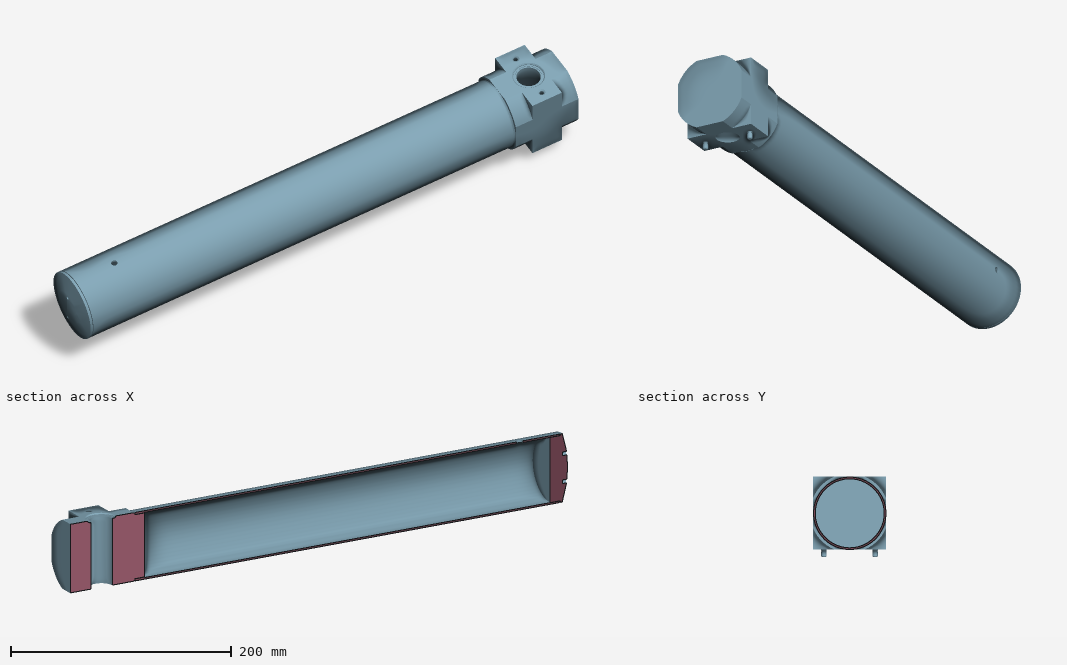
import cadquery as cq
import math

outer_diameter = 66.0
outer_radius = outer_diameter / 2
total_length = 519.0
bore_diameter = 62.0
plug_length = 10.0
back_y = total_length / 2
cap_apex_y = -back_y

head_length = 66.0
head_corner_diameter = 71.4
head_band_length = 31.0
neck_diameter = 65.4
neck_length = 2.0
head_center_y = back_y - head_length / 2
head_front_y = back_y - head_length

port_diameter = 22.0
port_chamfer_diameter = 30.0
port_chamfer_depth = 1.0
port_mouth_diameter = 28.0
port_mouth_depth = 1.5
port_seat_diameter = 24.5
port_seat_depth = 2.0

fixing_spacing = 46.2
fixing_hole_diameter = 4.13
fixing_hole_depth = 12.0
fixing_countersink_diameter = 7.0
fixing_countersink_depth = 1.0

stud_diameter = 5.0
stud_length = 6.8
stud_groove_diameter = 4.13
stud_groove_offset = 0.8
stud_groove_width = 1.2
stud_tip_diameter = 3.7
stud_tip_length = 1.0

dome_radius = 100.0
dome_height = dome_radius - math.sqrt(dome_radius**2 - outer_radius**2)
cap_flange_length = 3.0
cap_groove_diameter = 63.2
cap_groove_width = 0.6
spanner_hole_diameter = 3.0
spanner_hole_spacing = 26.7
spanner_hole_depth = 5.0
cap_rim_y = cap_apex_y + dome_height

tube_back_y = head_front_y - neck_length
tube_front_y = cap_rim_y + cap_flange_length
radial_hole_diameter = 6.0
radial_hole_distance_from_apex = 50.0
radial_hole_y = cap_apex_y + radial_hole_distance_from_apex


def rod(diameter, start_y, end_y):
    """Round bar on the long axis from start_y down to the lower end_y."""
    plane = cq.Workplane("XZ", origin=(0, start_y, 0))
    return plane.circle(diameter / 2).extrude(start_y - end_y)


def upright(diameter, x, bottom_z, top_z):
    """Round bar parallel to Z at the middle of the head's length."""
    plane = cq.Workplane("XY", origin=(x, head_center_y, bottom_z))
    return plane.circle(diameter / 2).extrude(top_z - bottom_z)


def top_hole(diameter, x, depth):
    """Cutter for a round hole going down from the top of the head."""
    return upright(diameter, x, outer_radius - depth, outer_radius)


def top_cone(top_diameter, bottom_diameter, x, depth):
    """Cutter for a cone that narrows down from the top of the head."""
    plane = cq.Workplane("XY", origin=(x, head_center_y, outer_radius))
    mouth = plane.circle(top_diameter / 2)
    return mouth.workplane(offset=-depth).circle(bottom_diameter / 2).loft()


def square_block(length):
    """Block of square section centred on the head."""
    block = cq.Workplane("XY").box(outer_diameter, length, outer_diameter)
    return block.translate((0, head_center_y, 0))


def make_stud(x):
    """Stud hanging from the underside of the head, with a groove and a chamfered tip."""
    groove_top_z = -outer_radius - stud_groove_offset
    groove_bottom_z = groove_top_z - stud_groove_width
    tip_chamfer_width = (stud_diameter - stud_tip_diameter) / 2
    stud = upright(stud_diameter, x, -outer_radius - stud_length, -outer_radius)
    stud = stud.faces("<Z").chamfer(stud_tip_length, tip_chamfer_width)
    groove = upright(stud_diameter, x, groove_bottom_z, groove_top_z)
    groove = groove.cut(upright(stud_groove_diameter, x, groove_bottom_z, groove_top_z))
    return stud.cut(groove)


def make_head():
    head = square_block(head_length).intersect(rod(head_corner_diameter, back_y, head_front_y))
    head = head.union(square_block(head_band_length))
    head = head.union(rod(neck_diameter, head_front_y, tube_back_y))
    head = head.union(rod(bore_diameter, tube_back_y, tube_back_y - plug_length))

    head = head.cut(top_hole(port_diameter, 0, outer_diameter))
    head = head.cut(top_hole(port_seat_diameter, 0, port_seat_depth))
    head = head.cut(top_hole(port_mouth_diameter, 0, port_mouth_depth))
    head = head.cut(top_cone(port_chamfer_diameter, port_mouth_diameter, 0, port_chamfer_depth))

    for x in (-fixing_spacing / 2, fixing_spacing / 2):
        countersink = top_cone(
            fixing_countersink_diameter, fixing_hole_diameter, x, fixing_countersink_depth
        )
        head = head.cut(top_hole(fixing_hole_diameter, x, fixing_hole_depth))
        head = head.cut(countersink)
        head = head.union(make_stud(x))
    return head


def make_tube():
    tube = rod(outer_diameter, tube_back_y, tube_front_y)
    tube = tube.cut(rod(bore_diameter, tube_back_y, tube_front_y))
    for plane, distance in (("XY", outer_radius), ("YZ", -outer_radius)):
        center = cq.Workplane(plane, origin=(0, radial_hole_y, 0))
        tube = tube.cut(center.circle(radial_hole_diameter / 2).extrude(distance))
    return tube


def make_cap():
    groove_y = tube_front_y - cap_groove_width
    plug_back_y = tube_front_y + plug_length
    profile = (
        cq.Workplane("XY")
        .moveTo(0, cap_apex_y)
        .radiusArc((outer_radius, cap_rim_y), -dome_radius)
        .lineTo(outer_radius, groove_y)
        .lineTo(cap_groove_diameter / 2, groove_y)
        .lineTo(cap_groove_diameter / 2, tube_front_y)
        .lineTo(bore_diameter / 2, tube_front_y)
        .lineTo(bore_diameter / 2, plug_back_y)
        .lineTo(0, plug_back_y)
        .close()
    )
    cap = profile.revolve(360, (0, 0, 0), (0, 1, 0))
    for z in (-spanner_hole_spacing / 2, spanner_hole_spacing / 2):
        hole = rod(spanner_hole_diameter, cap_apex_y + spanner_hole_depth, cap_apex_y)
        cap = cap.cut(hole.translate((0, 0, z)))
    return cap


head = make_head()
tube = make_tube()
cap = make_cap()
result = cq.Compound.makeCompound([body.solids().val() for body in (head, tube, cap)])